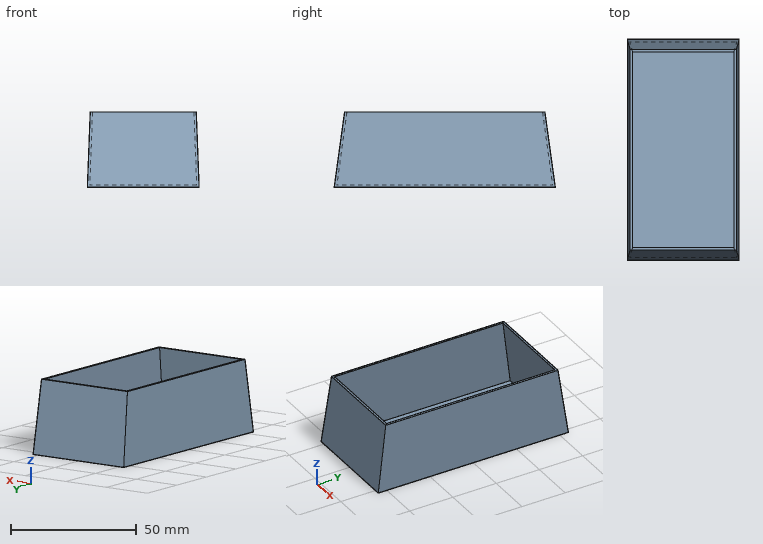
import cadquery as cq

base_width = 44.5
base_length = 88.0
height = 30.0
side_inset = 1.1
end_inset = 4.1

wall = 1.0
floor = 1.0


def tapered_block(bottom, horizontal_offset):
    """Solid between two heights, following the outer walls at a horizontal offset inward."""

    def section_size(z):
        inset_share = z / height
        width = base_width - 2 * (side_inset * inset_share + horizontal_offset)
        length = base_length - 2 * (end_inset * inset_share + horizontal_offset)
        return width, length

    return (
        cq.Workplane("XY")
        .workplane(offset=bottom)
        .rect(*section_size(bottom))
        .workplane(offset=height - bottom)
        .rect(*section_size(height))
        .loft(ruled=True, combine=True)
    )


outer_body = tapered_block(0, 0)

cavity = tapered_block(floor, wall)

result = outer_body.cut(cavity)